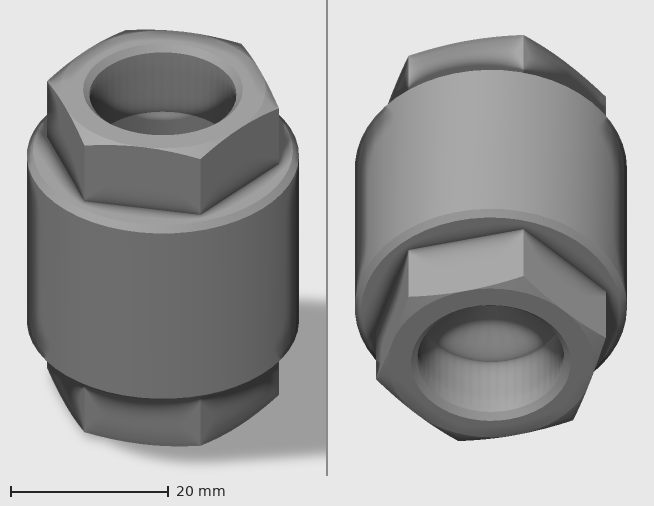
import cadquery as cq
import math

total_height = 46.0
body_diameter = 34.5
body_height = 27.15
body_chamfer = 0.8

across_flats = 26.0
across_corners = across_flats / math.cos(math.pi / 6)
hex_chamfer_angle = 22.0

bore_diameter = 18.65
bore_depth = 10.0
mouth_diameter = 20.25
mouth_depth = (mouth_diameter - bore_diameter) / 2
drill_point_angle = 118.0

half_height = total_height / 2


def make_body():
    """Round central sleeve with both rims chamfered."""
    sleeve = cq.Workplane("XY").cylinder(body_height, body_diameter / 2)
    return sleeve.edges("%CIRCLE").chamfer(body_chamfer)


def make_hexagon():
    """Hexagonal bar over the full height, its corners turned to a cone at both ends."""
    bar = cq.Workplane("XY").polygon(6, across_corners).extrude(half_height, both=True)
    face_radius = across_flats / 2
    corner_radius = across_corners / 2
    corner_drop = (corner_radius - face_radius) * math.tan(math.radians(hex_chamfer_angle))
    shoulder = half_height - corner_drop
    envelope = (
        cq.Workplane("XZ")
        .moveTo(0, -half_height)
        .lineTo(face_radius, -half_height)
        .lineTo(corner_radius, -shoulder)
        .lineTo(corner_radius, shoulder)
        .lineTo(face_radius, half_height)
        .lineTo(0, half_height)
        .close()
        .revolve(360, (0, 0, 0), (0, 1, 0))
    )
    return bar.intersect(envelope)


def make_port():
    """Volume of the upper bore: chamfered mouth, cylinder and drill point."""
    bore_radius = bore_diameter / 2
    floor = half_height - bore_depth
    point_depth = bore_radius / math.tan(math.radians(drill_point_angle / 2))
    return (
        cq.Workplane("XZ")
        .moveTo(0, half_height)
        .lineTo(mouth_diameter / 2, half_height)
        .lineTo(bore_radius, half_height - mouth_depth)
        .lineTo(bore_radius, floor)
        .lineTo(0, floor - point_depth)
        .close()
        .revolve(360, (0, 0, 0), (0, 1, 0))
    )


upper_port = make_port()
lower_port = upper_port.mirror("XY")

result = make_body().union(make_hexagon()).cut(upper_port).cut(lower_port)